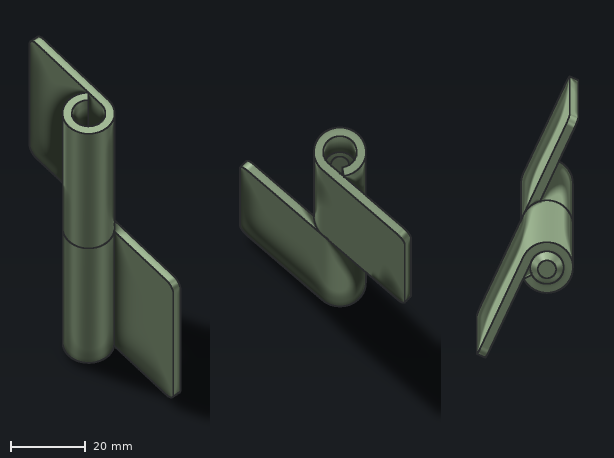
import cadquery as cq
import math

overall_length = 102.0
tip_length = 2.0
leaf_height = (overall_length - tip_length) / 2
leaf_reach = 30.0
knuckle_diameter = 14.0
bore_diameter = 9.0
corner_radius = 3.0
lip_angle = 141.0
pin_top_depth = 10.2

outer_radius = knuckle_diameter / 2
bore_radius = bore_diameter / 2
sheet_thickness = outer_radius - bore_radius


def on_circle(radius, angle):
    """Point on a circle about the pin axis, at an angle from +X in degrees."""
    return (radius * math.cos(math.radians(angle)), radius * math.sin(math.radians(angle)))


def make_flap():
    """Flat plate of the upper leaf, with both free corners rounded."""
    return (
        cq.Workplane("XY")
        .box(leaf_reach, sheet_thickness, leaf_height, centered=False)
        .translate((-leaf_reach, bore_radius, 0))
        .edges("|Y and <X")
        .fillet(corner_radius)
    )


def make_knuckle():
    """Sheet curled round the pin, clockwise from the flap to the lip."""
    arc_middle = (90 + lip_angle - 360) / 2
    return (
        cq.Workplane("XY")
        .moveTo(0, outer_radius)
        .threePointArc(on_circle(outer_radius, arc_middle), on_circle(outer_radius, lip_angle))
        .lineTo(*on_circle(bore_radius, lip_angle))
        .threePointArc(on_circle(bore_radius, arc_middle), (0, bore_radius))
        .close()
        .extrude(leaf_height)
    )


def make_leaf():
    """Upper leaf: one sheet forming a flap to -X and a knuckle."""
    return make_flap().union(make_knuckle())


def make_pin():
    """Round pin with a 45 degree taper on both ends."""
    pin_bottom = -leaf_height - tip_length
    pin_length = leaf_height - pin_top_depth - pin_bottom
    return (
        cq.Workplane("XY", origin=(0, 0, pin_bottom))
        .circle(bore_radius)
        .extrude(pin_length)
        .faces("<Z or >Z")
        .chamfer(tip_length)
    )


upper_leaf = make_leaf()
lower_leaf = upper_leaf.rotate((0, 0, 0), (0, 1, 0), 180)
pin = make_pin()

result = cq.Compound.makeCompound([upper_leaf.val(), lower_leaf.val(), pin.val()])